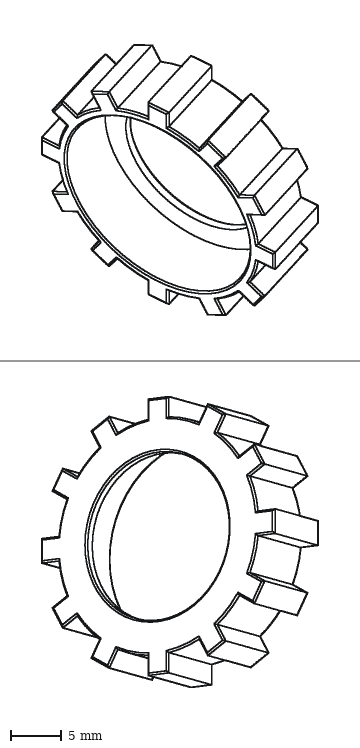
import cadquery as cq

tip_diameter = 28.0
width = 8.0
body_radius = 12.0
recess_radius = 11.0
bore_radius = 8.5
flange_thickness = 1.0
tooth_count = 12
tooth_width = 2.5
edge_chamfer = 0.2

tip_radius = tip_diameter / 2
front_y = -width / 2
recess_depth = width - flange_thickness


def cylinder_from_front(radius, length):
    """Cylinder on the ring axis, running from the open end toward +Y."""
    return cq.Workplane("XZ", origin=(0, front_y, 0)).circle(radius).extrude(-length)


def tooth(angle):
    """Straight bar from mid-wall out to the tip, turned about the ring axis."""
    root_radius = (recess_radius + body_radius) / 2
    bar_height = tip_radius - root_radius
    bar = cq.Workplane("XY").box(tooth_width, width, bar_height)
    bar = bar.translate((0, 0, root_radius + bar_height / 2))
    return bar.rotate((0, 0, 0), (0, 1, 0), angle)


ring = cylinder_from_front(body_radius, width)
for index in range(tooth_count):
    ring = ring.union(tooth(index * 360 / tooth_count))

ring = ring.cut(cylinder_from_front(recess_radius, recess_depth))
ring = ring.cut(cylinder_from_front(bore_radius, width))

result = ring.faces("<Y or >Y").edges().chamfer(edge_chamfer)